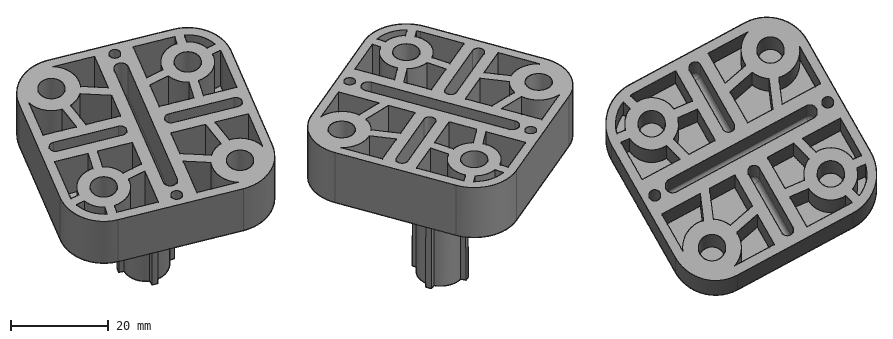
import cadquery as cq

plate_size = 45.7
plate_height = 13.0
corner_radius = 9.38
wall = 2.0
floor_thickness = 2.0
pocket_depth = plate_height - floor_thickness
corner_center = plate_size / 2 - corner_radius

web_half_width_x = 3.8
web_half_width_y = 4.15

boss_hole_diameter = 5.56
small_boss_diameter = 11.0
large_boss_diameter = 12.0
small_boss_center = corner_center
large_boss_center = 15.28
rib_width = 2.0
rib_length = 30.0
small_boss_rib_angles = (-5, -75, 105, 175)
large_boss_rib_angles = (193, 248)

long_slot_length = 35.05
long_slot_width = 3.0
short_slot_width = 2.54
short_slot_inner_end = web_half_width_y
short_slot_outer_end = 20.7
pin_hole_diameter = 2.38
pin_hole_offset = 20.2

neck_diameter = 12.5
neck_length = 5.0
flange_diameter = 20.32
flange_top_diameter = 15.6
flange_thickness = 4.0
flange_bevel_height = 1.4
stem_length = 30.0
shank_length = 4.5
shank_top_diameter = 12.1
shank_bottom_diameter = 11.95
core_diameter = 9.9
key_root_width = 1.5
key_tip_width = 1.25
key_top_diameter = 11.9
key_bottom_diameter = 12.1

flange_bottom = -(neck_length + flange_thickness)
shank_bottom = flange_bottom - shank_length


def make_plate():
    """Solid rounded square plate standing on z = 0."""
    plate = cq.Workplane("XY").box(plate_size, plate_size, plate_height, centered=(True, True, False))
    return plate.edges("|Z").fillet(corner_radius)


def radial_rib(center, angle):
    """Rib that starts at a boss axis and runs outward at an angle in degrees."""
    rib = cq.Workplane("XY").box(rib_length, rib_width, pocket_depth, centered=(False, True, False))
    return rib.rotate((0, 0, 0), (0, 0, 1), angle).translate((*center, floor_thickness))


def pocket_group(side, boss_center, boss_diameter, rib_angles):
    """Pocket volume of one upper quadrant (side -1 or 1), with its boss and ribs left standing."""
    size = plate_size - 2 * wall
    cavity = cq.Workplane("XY").workplane(offset=floor_thickness).rect(size, size).extrude(pocket_depth)
    cavity = cavity.edges("|Z").fillet(corner_radius - wall)
    quadrant = (
        cq.Workplane("XY")
        .box(plate_size, plate_size, plate_height, centered=False)
        .translate((web_half_width_x, web_half_width_y, 0))
    )
    if side < 0:
        quadrant = quadrant.mirror("YZ")
    cavity = cavity.intersect(quadrant)
    center = (side * boss_center, boss_center)
    boss = cq.Workplane("XY").center(*center).circle(boss_diameter / 2).extrude(plate_height)
    cavity = cavity.cut(boss)
    for angle in rib_angles:
        cavity = cavity.cut(radial_rib(center, angle))
    return cavity


def blind_hole(x, y, diameter):
    """Hole from the top of the plate down to the common floor."""
    hole = cq.Workplane("XY").workplane(offset=floor_thickness).center(x, y)
    return hole.circle(diameter / 2).extrude(pocket_depth)


def round_slot(length, width):
    """Slot along X, centred on the Z axis, with a half-round floor and ball ends."""
    radius = width / 2
    span = length - width
    axis_height = floor_thickness + radius
    upper = cq.Workplane("XY").workplane(offset=axis_height).slot2D(length, width)
    slot = upper.extrude(plate_height - axis_height)
    floor = cq.Workplane("YZ").workplane(offset=-span / 2).center(0, axis_height).circle(radius).extrude(span)
    slot = slot.union(floor)
    for x in (-span / 2, span / 2):
        slot = slot.union(cq.Workplane("XY").sphere(radius).translate((x, 0, axis_height)))
    return slot


def make_key():
    """Drafted key along +X, its tip trimmed by a cone that widens towards the free end."""
    key_length = stem_length + shank_bottom
    tip = key_bottom_diameter / 2
    root = core_diameter / 2
    draft = (key_root_width - key_tip_width) / 2 / (tip - root)
    axis_half_width = key_root_width / 2 + draft * root
    outline = [
        (0, -axis_half_width),
        (tip, -key_tip_width / 2),
        (tip, key_tip_width / 2),
        (0, axis_half_width),
    ]
    key = cq.Workplane("XY").workplane(offset=-stem_length).polyline(outline).close().extrude(key_length)
    envelope = (
        cq.Workplane("XY")
        .workplane(offset=-stem_length)
        .circle(key_bottom_diameter / 2)
        .workplane(offset=key_length)
        .circle(key_top_diameter / 2)
        .loft(ruled=True)
    )
    return key.intersect(envelope)


def make_stem():
    """Neck, bevelled flange and tapered shank, then a round core with four keys."""
    flange_top = -neck_length
    profile = [
        (0, 0),
        (neck_diameter / 2, 0),
        (neck_diameter / 2, flange_top),
        (flange_top_diameter / 2, flange_top),
        (flange_diameter / 2, flange_top - flange_bevel_height),
        (flange_diameter / 2, flange_bottom),
        (shank_top_diameter / 2, flange_bottom),
        (shank_bottom_diameter / 2, shank_bottom),
        (core_diameter / 2, shank_bottom),
        (core_diameter / 2, -stem_length),
        (0, -stem_length),
    ]
    stem = cq.Workplane("XZ").polyline(profile).close().revolve(360, (0, 0, 0), (0, 1, 0))
    for angle in (0, 90, 180, 270):
        stem = stem.union(make_key().rotate((0, 0, 0), (0, 0, 1), angle))
    return stem


short_slot_length = short_slot_outer_end - short_slot_inner_end
short_slot_center = (short_slot_outer_end + short_slot_inner_end) / 2
short_slot = round_slot(short_slot_length, short_slot_width).rotate((0, 0, 0), (0, 0, 1), 90)

body = make_plate().cut(round_slot(long_slot_length, long_slot_width))
small_pockets = pocket_group(-1, small_boss_center, small_boss_diameter, small_boss_rib_angles)
large_pockets = pocket_group(1, large_boss_center, large_boss_diameter, large_boss_rib_angles)
half_cuts = [
    small_pockets,
    large_pockets,
    blind_hole(-small_boss_center, small_boss_center, boss_hole_diameter),
    blind_hole(large_boss_center, large_boss_center, boss_hole_diameter),
    short_slot.translate((0, short_slot_center, 0)),
    blind_hole(pin_hole_offset, 0, pin_hole_diameter),
]
for turn in (0, 180):
    for cutter in half_cuts:
        body = body.cut(cutter.rotate((0, 0, 0), (0, 0, 1), turn))

result = body.union(make_stem())